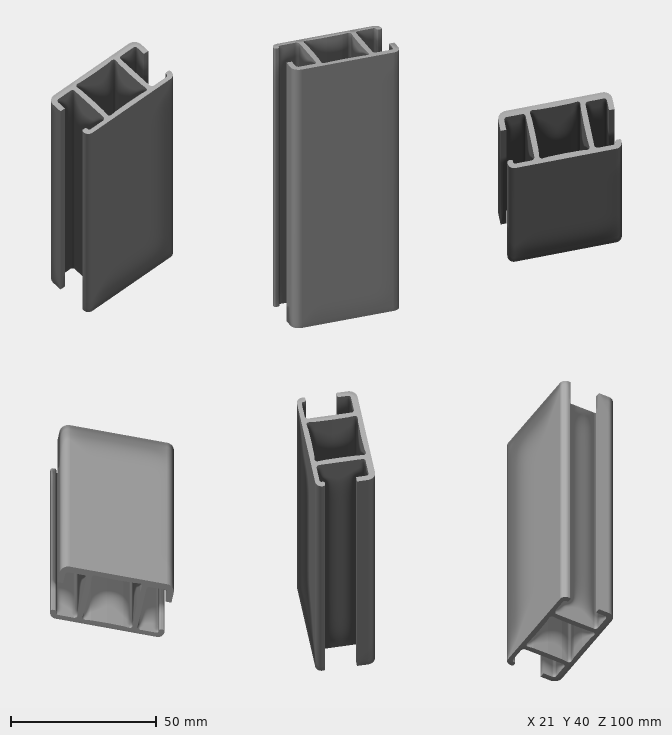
import cadquery as cq

width = 21.0
depth = 40.0
length = 100.0

left_wall = 2.3
right_wall = 1.6
lip_thickness = 2.0
web_outer_y = 10.5
slot_left = -3.7
slot_right = 7.3

left_corner_radius = 3.0
right_corner_radius = 2.2
channel_radius = 1.0
web_right_radius = 1.2
lip_right_radius = 0.7
lip_tip_radius = 0.6

cavity_half_x = 9.0
cavity_half_y = 8.9
crown_half_span = 5.7
corner_recess = 0.3
crown_height = 0.1
cavity_radius = 0.9

half_width = width / 2
half_depth = depth / 2


def block(x_min, x_max, y_min, y_max):
    """Full-length rectangular block between the given limits."""
    return (
        cq.Workplane("XY")
        .center((x_min + x_max) / 2, (y_min + y_max) / 2)
        .rect(x_max - x_min, y_max - y_min)
        .extrude(length)
    )


def outer_body():
    body = block(-half_width, half_width, -half_depth, half_depth)
    body = body.edges("|Z and <X").fillet(left_corner_radius)
    return body.edges("|Z and >X").fillet(right_corner_radius)


def upper_channel():
    """Rounded channel on the +Y side, open through the slot between the lips."""
    channel = block(
        left_wall - half_width,
        half_width - right_wall,
        web_outer_y,
        half_depth - lip_thickness,
    )
    channel = channel.edges("|Z and <X").fillet(channel_radius)
    channel = channel.edges("|Z").edges(">(1, -1, 0)").fillet(web_right_radius)
    channel = channel.edges("|Z").edges(">(1, 1, 0)").fillet(lip_right_radius)
    slot = block(slot_left, slot_right, half_depth - 2 * lip_thickness, half_depth)
    return channel.union(slot)


def cavity():
    """Central chamber whose four sides bow inwards to a shallow ridge."""
    ledge_x = cavity_half_x - corner_recess
    ledge_y = cavity_half_y - corner_recess
    ridge_x = ledge_x - crown_height
    ridge_y = ledge_y - crown_height
    quarter = [
        (ridge_x, 0),
        (ledge_x, crown_half_span),
        (cavity_half_x, cavity_half_y),
        (crown_half_span, ledge_y),
        (0, ridge_y),
    ]
    upper_half = quarter + [(-x, y) for x, y in reversed(quarter[:-1])]
    lower_half = [(-x, -y) for x, y in upper_half[1:-1]]
    outline = upper_half + lower_half
    corners = ">(1, 1, 0) or <(1, 1, 0) or >(1, -1, 0) or <(1, -1, 0)"
    chamber = cq.Workplane("XY").polyline(outline).close().extrude(length)
    return chamber.edges("|Z").edges(corners).fillet(cavity_radius)


def round_lip_tips(profile):
    """Round both tip edges of each right-hand lip."""
    for side in (-1, 1):
        for y in (half_depth, half_depth - lip_thickness):
            tip = cq.selectors.NearestToPointSelector((slot_right, side * y, length / 2))
            profile = profile.edges("|Z").edges(tip).fillet(lip_tip_radius)
    return profile


channel = upper_channel()
profile = outer_body().cut(channel).cut(channel.mirror("XZ")).cut(cavity())
result = round_lip_tips(profile)